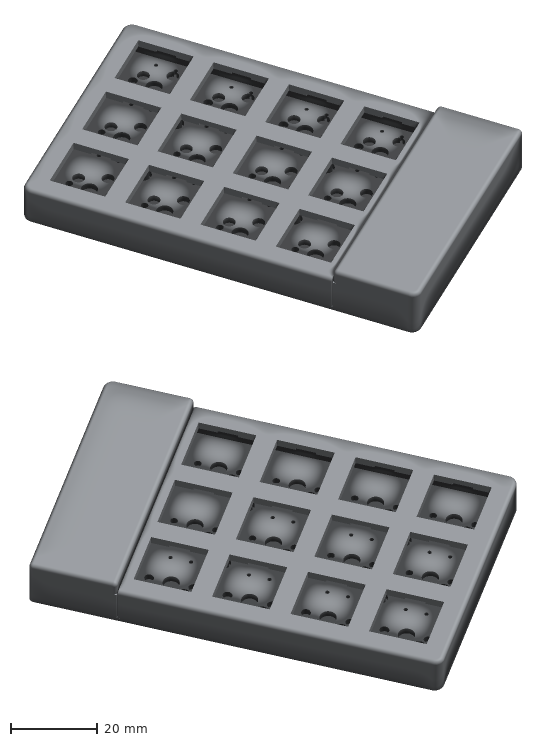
import cadquery as cq

CASE_LENGTH = 100.29
CASE_WIDTH = 62.35
CASE_HEIGHT = 12.7
KEY_COVER_TOP = 10.2
BASE_THICKNESS = 1.6
CORNER_RADIUS = 2.4
BACK_CORNER_RADIUS = 1.0
EDGE_RADIUS = 1.0
WALL = 2.8

KEY_PITCH = 19.05
COLUMNS = 4
ROWS = 3
OPENING = 14.0
PLATE_THICKNESS = 2.0
CLIP_LIP = 1.5
CLIP_NOTCH_WIDTH = 5.0
CLIP_NOTCH_DEPTH = 1.0
FIRST_KEY = (CASE_WIDTH - (ROWS - 1) * KEY_PITCH) / 2

COVER_GAP = 0.25
KEY_COVER_LENGTH = 78.6
SIDE_COVER_START = KEY_COVER_LENGTH + COVER_GAP
SIDE_ROOF = 2.0

BOARD_DEPTH = 6.2
BOARD_THICKNESS = 1.6
BOARD_TOP = KEY_COVER_TOP - BOARD_DEPTH
BOARD_BOTTOM = BOARD_TOP - BOARD_THICKNESS

STEM_HOLE = 4.0
PIN_HOLE = 3.0
PIN_OFFSETS = [(-3.81, 2.54), (2.54, 5.08)]
GUIDE_OFFSET = 5.08
GUIDE_HOLE = 1.75
WIDE_GUIDE_OFFSET = 5.4
WIDE_GUIDE_HOLE = 2.2
DIODE_HOLE = 1.0
DIODE_HALF_SPAN = 2.5
DIODE_OFFSET = 11.4
BACK_ROW_DIODE_OFFSET = 6.95
HEADER_HOLE = 1.09
HEADER_PITCH = 2.54
HEADER_PINS = 12
HEADER_X = KEY_COVER_LENGTH + 2.05
HEADER_BACK_Y = CASE_WIDTH - 5.0
BOSS_DIAMETER = 3.0
BOSS_CLEARANCE_HOLE = 4.0

UNDERSIDE = KEY_COVER_TOP - PLATE_THICKNESS


def key_row(row):
    y = FIRST_KEY + row * KEY_PITCH
    return [(FIRST_KEY + column * KEY_PITCH, y) for column in range(COLUMNS)]


def shifted(points, dx, dy):
    return [(x + dx, y + dy) for x, y in points]


BACK_ROW = key_row(ROWS - 1)
OTHER_ROWS = [key for row in range(ROWS - 1) for key in key_row(row)]
KEYS = OTHER_ROWS + BACK_ROW

OTHER_DIODE_KEYS = [key for key in OTHER_ROWS if key != key_row(0)[-1]]

BOSSES = [
    (FIRST_KEY + (column + 0.5) * KEY_PITCH, FIRST_KEY + (row + 0.5) * KEY_PITCH)
    for column in (0, COLUMNS - 2)
    for row in range(ROWS - 1)
]


def block(x0, x1, y0, y1, z0, z1):
    return cq.Workplane("XY").box(x1 - x0, y1 - y0, z1 - z0, centered=False).translate((x0, y0, z0))


def case_block(x0, x1, z0, z1):
    """A full-width slab of the case."""
    return block(x0, x1, 0, CASE_WIDTH, z0, z1)


def cavity_block(z0, z1):
    """A slab that fills the case between its outer walls."""
    return block(WALL, CASE_LENGTH - WALL, WALL, CASE_WIDTH - WALL, z0, z1)


def round_end_corners(slab):
    """Round the two +X case corners; the +Y one is rounded less."""
    slab = slab.edges("|Z").edges(">X").edges("<Y").fillet(CORNER_RADIUS)
    return slab.edges("|Z").edges(">X").edges(">Y").fillet(BACK_CORNER_RADIUS)


def make_base():
    base = case_block(0, CASE_LENGTH, 0, BASE_THICKNESS)
    base = base.edges("|Z and <X").fillet(CORNER_RADIUS)
    base = round_end_corners(base)
    base = base.faces("<Z").edges().fillet(EDGE_RADIUS)
    return base.union(cavity_block(BASE_THICKNESS, BOARD_BOTTOM))


def make_key_cover():
    cover = case_block(0, KEY_COVER_LENGTH, BASE_THICKNESS, KEY_COVER_TOP)
    cover = cover.edges("|Z and <X").fillet(CORNER_RADIUS)
    cover = cover.faces(">Z").edges("not >X").fillet(EDGE_RADIUS)
    cover = cover.cut(cavity_block(BASE_THICKNESS, UNDERSIDE))
    openings = (
        cq.Workplane("XY", origin=(0, 0, UNDERSIDE))
        .pushPoints(KEYS)
        .rect(OPENING, OPENING)
        .extrude(PLATE_THICKNESS)
    )
    notches = (
        cq.Workplane("XY", origin=(0, 0, UNDERSIDE))
        .pushPoints(KEYS)
        .rect(CLIP_NOTCH_WIDTH, OPENING + 2 * CLIP_NOTCH_DEPTH)
        .extrude(PLATE_THICKNESS - CLIP_LIP)
    )
    bosses = (
        cq.Workplane("XY", origin=(0, 0, BOARD_BOTTOM))
        .pushPoints(BOSSES)
        .circle(BOSS_DIAMETER / 2)
        .extrude(UNDERSIDE - BOARD_BOTTOM)
    )
    return cover.cut(openings).cut(notches).union(bosses)


def make_side_cover():
    lower_top = KEY_COVER_TOP - EDGE_RADIUS
    lower = case_block(SIDE_COVER_START, CASE_LENGTH, BASE_THICKNESS, lower_top)
    lower = round_end_corners(lower)
    upper = case_block(SIDE_COVER_START, CASE_LENGTH, lower_top, CASE_HEIGHT)
    upper = round_end_corners(upper)
    upper = upper.edges("|Z and <X").fillet(EDGE_RADIUS)
    upper = upper.faces(">Z").edges().fillet(EDGE_RADIUS)
    bay = block(
        SIDE_COVER_START + SIDE_ROOF,
        CASE_LENGTH - WALL,
        WALL,
        CASE_WIDTH - WALL,
        UNDERSIDE,
        CASE_HEIGHT - SIDE_ROOF,
    )
    return lower.union(upper).cut(cavity_block(BASE_THICKNESS, UNDERSIDE)).cut(bay)


def board_holes(points, diameter):
    return (
        cq.Workplane("XY", origin=(0, 0, BOARD_BOTTOM))
        .pushPoints(points)
        .circle(diameter / 2)
        .extrude(BOARD_THICKNESS)
    )


def make_board():
    board = cavity_block(BOARD_BOTTOM, BOARD_TOP)
    board = board.cut(board_holes(KEYS, STEM_HOLE))
    board = board.cut(board_holes(BOSSES, BOSS_CLEARANCE_HOLE))
    for dx, dy in PIN_OFFSETS:
        board = board.cut(board_holes(shifted(KEYS, dx, dy), PIN_HOLE))
    for side in (-1, 1):
        guides = shifted(KEYS, side * GUIDE_OFFSET, 0)
        wide_guides = shifted(BACK_ROW, side * WIDE_GUIDE_OFFSET, 0)
        diodes = shifted(OTHER_DIODE_KEYS, side * DIODE_HALF_SPAN, DIODE_OFFSET)
        back_diodes = shifted(BACK_ROW, side * DIODE_HALF_SPAN, BACK_ROW_DIODE_OFFSET)
        board = board.cut(board_holes(guides, GUIDE_HOLE))
        board = board.cut(board_holes(wide_guides, WIDE_GUIDE_HOLE))
        board = board.cut(board_holes(diodes + back_diodes, DIODE_HOLE))
    header = [(HEADER_X, HEADER_BACK_Y - pin * HEADER_PITCH) for pin in range(HEADER_PINS)]
    return board.cut(board_holes(header, HEADER_HOLE))


base = make_base()
key_cover = make_key_cover()
side_cover = make_side_cover()
board = make_board()

bodies = [base, key_cover, side_cover, board]
result = cq.Compound.makeCompound([body.solids().val() for body in bodies])